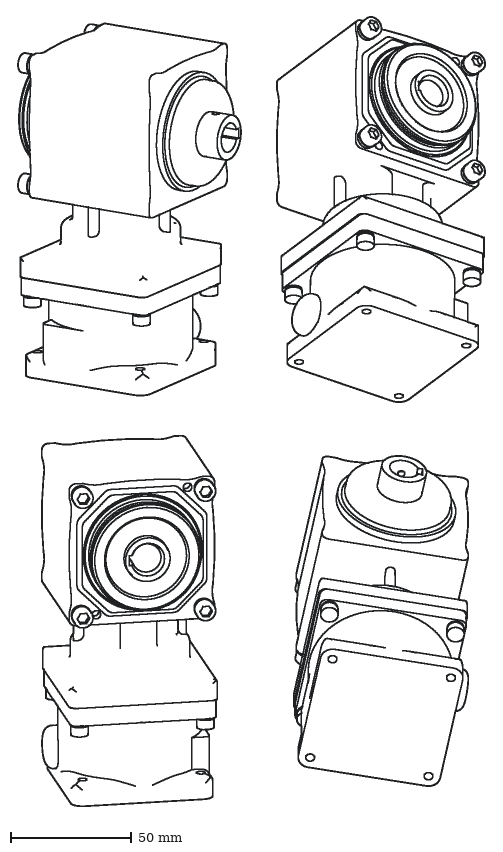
import cadquery as cq
import math

TOTAL_HEIGHT = 139.0
EMBED = 1.4
ARC_MIDDLE = 1 - math.sqrt(0.5)

BASE_HALF = 30.0
BASE_HEIGHT = 10.1
BASE_EDGE_RADIUS = 4.0
BASE_CORNER_RADIUS = 5.0
BARREL_RADIUS = BASE_HALF
PLATE_HALF = 30.9
PLATE_BOTTOM = 35.2
SEAM_Z = 43.0
PLATE_CORNER_RADIUS = 2.9
SCREW_OFFSET = 26.7
SCREW_RADIUS = 3.6
SCREW_HEIGHT = 4.9
SCREW_COLLAR_RADIUS = 3.5
SCREW_COLLAR_HEIGHT = 0.8
BASE_HOLE_OFFSET = 25.0
BASE_HOLE_RADIUS = 1.8
PAD_LEFT = -20.2
PAD_RIGHT = 0.0
PAD_TOP = 24.0
PAD_CORNER_RADIUS = 2.0
PLUG_X = 10.5
PLUG_Z = 13.9
PLUG_RADIUS = 9.0
PLUG_END_Y = 34.0
PLUG_EDGE_RADIUS = 3.6

FOOT_TOP = 51.8
FOOT_HALF_Y = 31.4
FOOT_EDGE_RADIUS = 2.0
COLLAR_RADIUS = 24.9
COLLAR_TOP = 63.4
COLLAR_EDGE_RADIUS = 2.1
COLLAR_FLARE = 3.3
NECK_RADIUS = 20.0
NECK_FLAT = 18.5
NECK_FLARE = 2.8
RIB_WIDTH = 3.9
RIB_REACH = 23.9

HOUSING_HALF = 30.9
SHAFT_Z = TOTAL_HEIGHT - HOUSING_HALF
HOUSING_LEFT = -25.6
HOUSING_RIGHT = 33.0
HOUSING_CORNER_RADIUS = 2.8
SHOULDER_START = 25.2
HOLLOW_START = 23.6
HOLLOW_START_DEPTH = 0.4
HOLLOW_MIDDLE = 20.3
HOLLOW_DEPTH = 1.0
CROWN_HALF = 15.8
CROWN_DROP = 0.7
UNDERSIDE_QUARTER = 2

SHAFT_RADIUS = 9.5
SHAFT_LEFT = -38.1
SHAFT_RIGHT = 53.0
BORE_RADIUS = 6.1
BORE_MOUTH_RADIUS = 7.1
BORE_MOUTH_DEPTH = 2.5
KEYWAY_WIDTH = 4.2
KEYWAY_REACH = 7.8
SET_SCREW_X = 46.4
SET_SCREW_RADIUS = 1.4

BOSS_LEFT = -27.2
BOSS_HALF_TOP = 25.6
BOSS_HALF_BASE = 27.5
BOSS_SIDE_TOP = 13.8
BOSS_SIDE_BASE = 14.7
BOSS_CORNER_RADIUS = 5.8

COVER_LEFT = -36.1
COVER_RADIUS = 23.1
COVER_CHAMFER = 1.0
COVER_GROOVE_LEFT = -33.9
COVER_GROOVE_RADIUS = 22.0
DISC_LEFT = -31.5
PILOT_LEFT = -28.1
PILOT_RADIUS = 25.2
PILOT_CHAMFER = 0.5
RECESS_RADIUS = 18.0
RECESS_TAPER = 0.8
RECESS_DEPTH = 1.4

FLANGE_RADIUS = 25.0
FLANGE_RIGHT = 36.0
SPIGOT_BASE_RADIUS = 23.4
SPIGOT_RADIUS = 22.2
SPIGOT_TAPER_END = 37.5
SPIGOT_END = 42.5
SPIGOT_EDGE_RADIUS = 2.0

BOLT_OFFSET = 26.0
BOLT_RADIUS = 4.2
BOLT_LEFT = -31.8
BOLT_EDGE = 0.5
BOLT_WASHER_LEFT = -27.2
BOLT_WASHER_RADIUS = 3.9
SOCKET_ACROSS_CORNERS = 5.1
SOCKET_DEPTH = 2.2
PIN_HOLE_Y = 19.3
PIN_HOLE_Z = 26.5
PIN_HOLE_RADIUS = 1.8
PIN_HOLE_DEPTH = 4.2
DRILL_POINT_DEPTH = 1.0


def upright_block(half_x, half_y, bottom, top):
    return (
        cq.Workplane("XY")
        .workplane(offset=bottom)
        .rect(2 * half_x, 2 * half_y)
        .extrude(top - bottom)
    )


def upright_cylinder(radius, bottom, top):
    return cq.Workplane("XY").workplane(offset=bottom).circle(radius).extrude(top - bottom)


def cylinder_along_x(radius, left, right):
    """Cylinder on the output shaft axis."""
    return (
        cq.Workplane("YZ", origin=(left, 0, SHAFT_Z))
        .circle(radius)
        .extrude(right - left)
    )


def turned_along_x(points):
    """Solid of revolution about the output shaft; points are (X, radius)."""
    return (
        cq.Workplane("XZ", origin=(0, 0, SHAFT_Z))
        .polyline(points)
        .close()
        .revolve(360, (0, 0, 0), (1, 0, 0))
    )


def mitred_plate(half_x, half_y, bottom, top, edge_radius, corner_radius):
    """Plate whose rounded top edges meet in mitres, with its upright corners rounded off."""
    plate = upright_block(half_x, half_y, bottom, top).faces(">Z").edges().fillet(edge_radius)
    outline = upright_block(half_x, half_y, bottom, top).edges("|Z").fillet(corner_radius)
    return plate.intersect(outline)


def corner_points(offset):
    return [(x, y) for x in (-offset, offset) for y in (-offset, offset)]


def adapter_pad():
    """Flat pad on the -Y side, ending at the tangent line of the barrel."""
    pad = (
        cq.Workplane("XY")
        .moveTo(PAD_LEFT, -BASE_HALF)
        .lineTo(PAD_RIGHT, -BASE_HALF)
        .lineTo(PAD_RIGHT, 0)
        .lineTo(PAD_LEFT, 0)
        .close()
        .extrude(PAD_TOP)
    )
    return pad.edges("|Z and <X and <Y").fillet(PAD_CORNER_RADIUS)


def adapter_plug():
    """Round-edged plug on the +Y side."""
    plug = (
        cq.Workplane("XZ", origin=(PLUG_X, PLUG_END_Y, PLUG_Z))
        .circle(PLUG_RADIUS)
        .extrude(PLUG_END_Y)
    )
    return plug.faces(">Y").edges().fillet(PLUG_EDGE_RADIUS)


def adapter_screw(x, y):
    """Screw head hanging below the adapter plate."""
    collar = upright_cylinder(SCREW_COLLAR_RADIUS, PLATE_BOTTOM - SCREW_COLLAR_HEIGHT, PLATE_BOTTOM + EMBED)
    head = upright_cylinder(
        SCREW_RADIUS, PLATE_BOTTOM - SCREW_HEIGHT, PLATE_BOTTOM - SCREW_COLLAR_HEIGHT
    )
    return head.union(collar).translate((x, y, 0))


def build_adapter():
    adapter = mitred_plate(
        BASE_HALF, BASE_HALF, 0, BASE_HEIGHT, BASE_EDGE_RADIUS, BASE_CORNER_RADIUS
    )
    base_holes = (
        cq.Workplane("XY")
        .pushPoints(corner_points(BASE_HOLE_OFFSET))
        .circle(BASE_HOLE_RADIUS)
        .extrude(BASE_HEIGHT)
    )
    plate = upright_block(PLATE_HALF, PLATE_HALF, PLATE_BOTTOM, SEAM_Z)
    adapter = (
        adapter.cut(base_holes)
        .union(upright_cylinder(BARREL_RADIUS, 0, SEAM_Z))
        .union(plate.edges("|Z").fillet(PLATE_CORNER_RADIUS))
        .union(adapter_pad())
        .union(adapter_plug())
    )
    for x, y in corner_points(SCREW_OFFSET):
        adapter = adapter.union(adapter_screw(x, y))
    return adapter


def collar():
    """Round collar with a rounded rim, flaring out onto the foot plate."""
    rim = COLLAR_EDGE_RADIUS * ARC_MIDDLE
    flare = COLLAR_FLARE * ARC_MIDDLE
    return (
        cq.Workplane("XZ")
        .moveTo(0, FOOT_TOP - EMBED)
        .lineTo(COLLAR_RADIUS + COLLAR_FLARE, FOOT_TOP - EMBED)
        .lineTo(COLLAR_RADIUS + COLLAR_FLARE, FOOT_TOP)
        .threePointArc(
            (COLLAR_RADIUS + flare, FOOT_TOP + flare), (COLLAR_RADIUS, FOOT_TOP + COLLAR_FLARE)
        )
        .lineTo(COLLAR_RADIUS, COLLAR_TOP - COLLAR_EDGE_RADIUS)
        .threePointArc(
            (COLLAR_RADIUS - rim, COLLAR_TOP - rim), (COLLAR_RADIUS - COLLAR_EDGE_RADIUS, COLLAR_TOP)
        )
        .lineTo(0, COLLAR_TOP)
        .close()
        .revolve(360, (0, 0, 0), (0, 1, 0))
    )


def neck():
    """Round neck flared at both ends, with a flat -X side flared at the bottom only."""
    bottom = COLLAR_TOP
    top = SHAFT_Z - HOUSING_HALF
    flare = NECK_FLARE * ARC_MIDDLE
    end_radius = NECK_RADIUS + NECK_FLARE
    round_neck = (
        cq.Workplane("XZ")
        .moveTo(0, bottom - EMBED)
        .lineTo(end_radius, bottom - EMBED)
        .lineTo(end_radius, bottom)
        .threePointArc((NECK_RADIUS + flare, bottom + flare), (NECK_RADIUS, bottom + NECK_FLARE))
        .lineTo(NECK_RADIUS, top - NECK_FLARE)
        .threePointArc((NECK_RADIUS + flare, top - flare), (end_radius, top))
        .lineTo(end_radius, top + EMBED)
        .lineTo(0, top + EMBED)
        .close()
        .revolve(360, (0, 0, 0), (0, 1, 0))
    )
    flat_limit = (
        cq.Workplane("XZ")
        .moveTo(end_radius, bottom - EMBED)
        .lineTo(-NECK_FLAT - NECK_FLARE, bottom - EMBED)
        .lineTo(-NECK_FLAT - NECK_FLARE, bottom)
        .threePointArc((-NECK_FLAT - flare, bottom + flare), (-NECK_FLAT, bottom + NECK_FLARE))
        .lineTo(-NECK_FLAT, top + EMBED)
        .lineTo(end_radius, top + EMBED)
        .close()
        .extrude(end_radius, both=True)
    )
    return round_neck.intersect(flat_limit)


def neck_rib(angle):
    """Round-nosed upright rib reaching out from the neck."""
    nose = RIB_REACH - RIB_WIDTH / 2
    bottom = COLLAR_TOP - EMBED
    height = SHAFT_Z - HOUSING_HALF + EMBED - bottom
    web = cq.Workplane("XY").box(nose, RIB_WIDTH, height, centered=(False, True, False))
    tip = cq.Workplane("XY").center(nose, 0).circle(RIB_WIDTH / 2).extrude(height)
    return web.union(tip).translate((0, 0, bottom)).rotate((0, 0, 0), (0, 0, 1), angle)


def foot():
    body = mitred_plate(
        PLATE_HALF, FOOT_HALF_Y, SEAM_Z, FOOT_TOP, FOOT_EDGE_RADIUS, PLATE_CORNER_RADIUS
    )
    body = body.union(collar()).union(neck())
    for angle in (-90, 0, 90):
        body = body.union(neck_rib(angle))
    return body


def turn(point, quarter):
    """Rotate a profile point by a number of quarter turns."""
    u, v = point
    for _ in range(quarter):
        u, v = -v, u
    return (u, v)


def housing_side(profile, quarter):
    """Add one side of the housing outline: a shallow crown between two hollows, with flat ends."""

    def at(u, v):
        return turn((u, v), quarter)

    crown_edge = HOUSING_HALF - CROWN_DROP
    hollow_edge = HOUSING_HALF - HOLLOW_START_DEPTH
    hollow = HOUSING_HALF - HOLLOW_DEPTH
    return (
        profile.lineTo(*at(SHOULDER_START, HOUSING_HALF))
        .lineTo(*at(HOLLOW_START, hollow_edge))
        .threePointArc(at(HOLLOW_MIDDLE, hollow), at(CROWN_HALF, crown_edge))
        .threePointArc(at(0, HOUSING_HALF), at(-CROWN_HALF, crown_edge))
        .threePointArc(at(-HOLLOW_MIDDLE, hollow), at(-HOLLOW_START, hollow_edge))
        .lineTo(*at(-SHOULDER_START, HOUSING_HALF))
    )


def housing_block():
    """Extruded housing with rounded corners, three crowned sides and a flat underside."""
    corner = HOUSING_HALF - HOUSING_CORNER_RADIUS
    corner_middle = HOUSING_HALF - HOUSING_CORNER_RADIUS * ARC_MIDDLE
    profile = cq.Workplane("YZ", origin=(HOUSING_LEFT, 0, SHAFT_Z)).moveTo(corner, HOUSING_HALF)
    for quarter in range(4):
        if quarter != UNDERSIDE_QUARTER:
            profile = housing_side(profile, quarter)
        profile = profile.lineTo(*turn((-corner, HOUSING_HALF), quarter)).threePointArc(
            turn((-corner_middle, corner_middle), quarter), turn((-HOUSING_HALF, corner), quarter)
        )
    return profile.close().extrude(HOUSING_RIGHT - HOUSING_LEFT)


def octagon(half, side):
    """Corners of a square with its corners cut off; side is half the length left of each side."""
    points = []
    for quarter in range(4):
        points.append(turn((side, half), quarter))
        points.append(turn((-side, half), quarter))
    return points


def octagonal_boss():
    """Boss with sloping sides and rounded corners on the left face of the housing."""
    return (
        cq.Workplane("YZ", origin=(HOUSING_LEFT, 0, SHAFT_Z))
        .polyline(octagon(BOSS_HALF_BASE, BOSS_SIDE_BASE))
        .close()
        .workplane(offset=BOSS_LEFT - HOUSING_LEFT)
        .polyline(octagon(BOSS_HALF_TOP, BOSS_SIDE_TOP))
        .close()
        .loft(ruled=True)
        .edges("not #X")
        .fillet(BOSS_CORNER_RADIUS)
    )


def left_cover():
    """Turned cover with a grooved rim, a low pilot step and a shallow recess around the shaft."""
    return turned_along_x(
        [
            (HOUSING_LEFT, 0),
            (COVER_LEFT + RECESS_DEPTH, 0),
            (COVER_LEFT + RECESS_DEPTH, RECESS_RADIUS - RECESS_TAPER),
            (COVER_LEFT, RECESS_RADIUS),
            (COVER_LEFT, COVER_RADIUS - COVER_CHAMFER),
            (COVER_LEFT + COVER_CHAMFER, COVER_RADIUS),
            (COVER_GROOVE_LEFT, COVER_RADIUS),
            (COVER_GROOVE_LEFT, COVER_GROOVE_RADIUS),
            (DISC_LEFT, COVER_GROOVE_RADIUS),
            (DISC_LEFT, COVER_RADIUS),
            (PILOT_LEFT, COVER_RADIUS),
            (PILOT_LEFT, PILOT_RADIUS - PILOT_CHAMFER),
            (PILOT_LEFT + PILOT_CHAMFER, PILOT_RADIUS),
            (HOUSING_LEFT, PILOT_RADIUS),
        ]
    )


def right_cover():
    """Turned flange and round-edged spigot on the right face."""
    cover = turned_along_x(
        [
            (HOUSING_RIGHT, 0),
            (HOUSING_RIGHT, FLANGE_RADIUS),
            (FLANGE_RIGHT, FLANGE_RADIUS),
            (FLANGE_RIGHT, SPIGOT_BASE_RADIUS),
            (SPIGOT_TAPER_END, SPIGOT_RADIUS),
            (SPIGOT_END, SPIGOT_RADIUS),
            (SPIGOT_END, 0),
        ]
    )
    return cover.faces(">X").edges().fillet(SPIGOT_EDGE_RADIUS)


def housing_bolt(y, z):
    """Socket-head bolt on a washer against the left face."""
    washer = (
        cq.Workplane("YZ", origin=(BOLT_WASHER_LEFT, y, SHAFT_Z + z))
        .circle(BOLT_WASHER_RADIUS)
        .extrude(HOUSING_LEFT + EMBED - BOLT_WASHER_LEFT)
    )
    head = (
        cq.Workplane("YZ", origin=(BOLT_LEFT, y, SHAFT_Z + z))
        .circle(BOLT_RADIUS)
        .extrude(BOLT_WASHER_LEFT - BOLT_LEFT)
        .faces("<X")
        .edges()
        .fillet(BOLT_EDGE)
    )
    socket = (
        cq.Workplane("YZ", origin=(BOLT_LEFT, y, SHAFT_Z + z))
        .polygon(6, SOCKET_ACROSS_CORNERS)
        .extrude(SOCKET_DEPTH)
    )
    return head.union(washer).cut(socket)


def pin_hole(y, z):
    """Blind drilled hole in the left face."""
    bottom = HOUSING_LEFT + PIN_HOLE_DEPTH
    hole = turned_along_x(
        [
            (HOUSING_LEFT, 0),
            (HOUSING_LEFT, PIN_HOLE_RADIUS),
            (bottom, PIN_HOLE_RADIUS),
            (bottom + DRILL_POINT_DEPTH, 0),
        ]
    )
    return hole.translate((0, y, z))


def shaft_bore():
    """Keyed bore through the whole output shaft, with a conical mouth at its left end."""
    bore = cylinder_along_x(BORE_RADIUS, SHAFT_LEFT, SHAFT_RIGHT)
    mouth = turned_along_x(
        [
            (SHAFT_LEFT, 0),
            (SHAFT_LEFT, BORE_MOUTH_RADIUS),
            (SHAFT_LEFT + BORE_MOUTH_DEPTH, BORE_RADIUS),
            (SHAFT_LEFT + BORE_MOUTH_DEPTH, 0),
        ]
    )
    keyway = cq.Workplane("XY").box(
        SHAFT_RIGHT - SHAFT_LEFT, KEYWAY_REACH, KEYWAY_WIDTH, centered=(False, False, True)
    )
    return bore.union(mouth).union(keyway.translate((SHAFT_LEFT, 0, SHAFT_Z)))


def set_screw_hole():
    """Radial hole from the top of the right shaft end into the bore."""
    hole = upright_cylinder(SET_SCREW_RADIUS, SHAFT_Z, SHAFT_Z + SHAFT_RADIUS)
    return hole.translate((SET_SCREW_X, 0, 0))


def build_gearhead():
    gearhead = (
        housing_block()
        .union(foot())
        .union(octagonal_boss())
        .union(left_cover())
        .union(right_cover())
        .union(cylinder_along_x(SHAFT_RADIUS, SHAFT_LEFT, SHAFT_RIGHT))
    )
    for y, z in ((PIN_HOLE_Y, -PIN_HOLE_Z), (-PIN_HOLE_Y, PIN_HOLE_Z)):
        gearhead = gearhead.cut(pin_hole(y, z))
    for y, z in corner_points(BOLT_OFFSET):
        gearhead = gearhead.union(housing_bolt(y, z))
    return gearhead.cut(shaft_bore()).cut(set_screw_hole())


motor_adapter = build_adapter()
gearhead = build_gearhead()

result = cq.Compound.makeCompound([motor_adapter.val(), gearhead.val()])